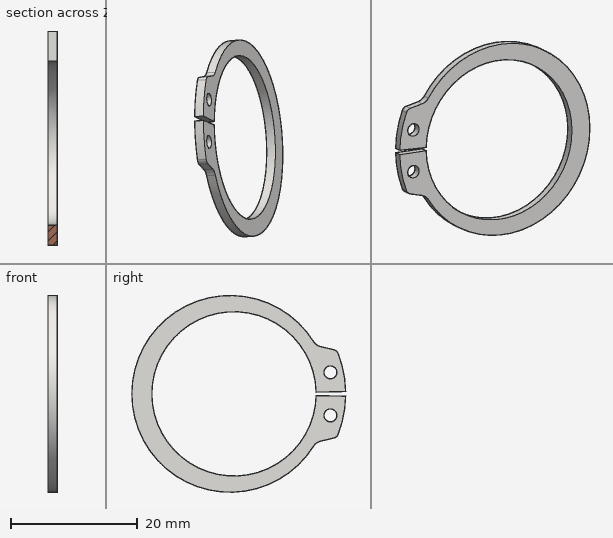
import cadquery as cq
import math

thickness = 1.5
bore_radius = 12.95
rim_radius = 15.55
overall_width = 33.8
rim_offset = 0.6
lug_tip_radius = overall_width - rim_radius - rim_offset

lug_side_y = 15.84
lug_side_z = 6.97
lug_side_angle = 13.4
lug_corner_radius = 1.0
lug_root_radius = 1.75
gap_half_angle = 1.13
plier_hole_diameter = 2.0
plier_hole_y = 15.22
plier_hole_z = 3.4

selection_size = 0.2


def cylinder(radius, y=0.0, z=0.0):
    """Disc of the ring's thickness, centred on X = 0."""
    return cq.Workplane("YZ").center(y, z).circle(radius).extrude(thickness / 2, both=True)


def plate(points):
    """Polygonal plate of the ring's thickness, centred on X = 0."""
    return cq.Workplane("YZ").polyline(points).close().extrude(thickness / 2, both=True)


def side_meets_circle(radius, centre_y):
    """Outer point where the upper lug side meets a circle centred on the Y axis."""
    dir_y = math.cos(math.radians(lug_side_angle))
    dir_z = -math.sin(math.radians(lug_side_angle))
    start_y = lug_side_y - centre_y
    along = start_y * dir_y + lug_side_z * dir_z
    start_excess = start_y**2 + lug_side_z**2 - radius**2
    step = -along + math.sqrt(along**2 - start_excess)
    return lug_side_y + step * dir_y, lug_side_z + step * dir_z


def lug_side_height(y):
    """Z of the upper lug side at a given Y."""
    return lug_side_z + (lug_side_y - y) * math.tan(math.radians(lug_side_angle))


def make_lugs():
    """Both lugs as one block, bounded by the tip arc and the two sloping sides."""
    tip_height = lug_side_height(lug_tip_radius)
    root_height = lug_side_height(0)
    wedge = plate([
        (0, root_height),
        (lug_tip_radius, tip_height),
        (lug_tip_radius, -tip_height),
        (0, -root_height),
    ])
    return cylinder(lug_tip_radius).intersect(wedge)


def round_edges(body, point, radius):
    """Fillet the edge along X at a (Y, Z) point and its mirror image below."""
    y, z = point
    for edge_z in (z, -z):
        box = cq.selectors.BoxSelector(
            (-thickness, y - selection_size, edge_z - selection_size),
            (thickness, y + selection_size, edge_z + selection_size),
        )
        body = body.edges("|X").edges(box).fillet(radius)
    return body


def make_gap():
    """Wedge between the lugs, with its point on the bore axis."""
    reach = 2 * lug_tip_radius
    half_height = reach * math.tan(math.radians(gap_half_angle))
    return plate([(0, 0), (reach, half_height), (reach, -half_height)])


def make_plier_holes():
    """One plier hole through each lug."""
    hole_radius = plier_hole_diameter / 2
    upper = cylinder(hole_radius, plier_hole_y, plier_hole_z)
    lower = cylinder(hole_radius, plier_hole_y, -plier_hole_z)
    return upper.union(lower)


lug_corner = side_meets_circle(lug_tip_radius, 0)
lug_root = side_meets_circle(rim_radius, -rim_offset)

body = cylinder(rim_radius, -rim_offset).union(make_lugs())
body = round_edges(body, lug_corner, lug_corner_radius)
body = round_edges(body, lug_root, lug_root_radius)

result = body.cut(cylinder(bore_radius)).cut(make_gap()).cut(make_plier_holes())